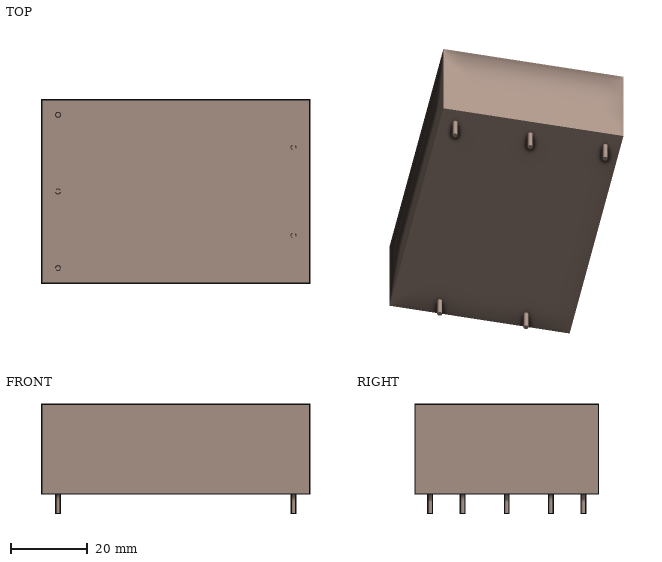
import cadquery as cq

housing_length = 70.0
housing_width = 48.0
housing_height = 23.5

pin_diameter = 1.3
pin_length = 5.1
pin_row_x = 30.75
outer_pin_y = 20.0
inner_pin_y = 11.5

pin_places = [
    (-pin_row_x, -outer_pin_y),
    (-pin_row_x, 0.0),
    (-pin_row_x, outer_pin_y),
    (pin_row_x, -inner_pin_y),
    (pin_row_x, inner_pin_y),
]


def make_housing():
    """Plain rectangular block with its underside at z = 0."""
    return cq.Workplane("XY").box(
        housing_length, housing_width, housing_height, centered=(True, True, False)
    )


def make_pin(x, y):
    """Round pin whose top touches the underside of the housing."""
    return cq.Workplane("XY").center(x, y).circle(pin_diameter / 2).extrude(-pin_length)


housing = make_housing()
pins = [make_pin(x, y) for x, y in pin_places]

result = cq.Compound.makeCompound([housing.val(), *[pin.val() for pin in pins]])